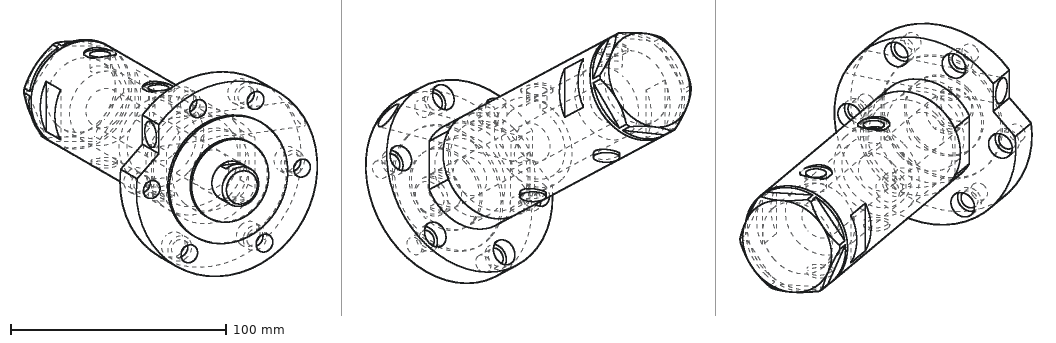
import cadquery as cq
import math

CAP_HEX_END = 8.7
TUBE_START = 10.9
CAP_SPIGOT_END = 34.8
HEAD_SPIGOT_START = 94.7
TUBE_END = 130.5
FLANGE_START = 146.2
FLANGE_END = 163.4
PILOT_END = 165.15
BUSH_END = 166.8
ROD_NECK_END = 172.7
OVERALL_LENGTH = 179.02

TUBE_DIAMETER = 52.0
CHAMBER_DIAMETER = 36.0
HEAD_SPIGOT_DIAMETER = 44.0
FLANGE_DIAMETER = 94.0
PILOT_DIAMETER = 61.5
BUSH_DIAMETER = 40.0
ROD_DIAMETER = 19.0

BODY_ACROSS_FLATS = 46.0
ROD_ACROSS_FLATS = 16.0

CAP_FACE_DIAMETER = 46.0
CAP_CHAMFER_LENGTH = (TUBE_DIAMETER - CAP_FACE_DIAMETER) / 2
CAP_TURN = 22.4
HEX_SIDES = 6
HEX_HALF_ANGLE = 180 / HEX_SIDES

TUBE_FLAT_START = 20.6
TUBE_FLAT_LENGTH = 15.2
PORT_POSITIONS = (30.6, 91.8)
PORT_DIAMETER = 9.7
SPOT_FACE_DIAMETER = 15.0
SPOT_FACE_HEIGHT = 25.0
BOSS_POSITIONS = (CAP_SPIGOT_END, HEAD_SPIGOT_START)
BOSS_DIAMETER = 12.2
BOSS_REACH = 27.3

BOLT_CIRCLE_DIAMETER = 78.0
BOLT_HOLE_DIAMETER = 8.6
BOLT_HEAD_DIAMETER = 12.2
BOLT_HEAD_DEPTH = 7.0
BOLT_ANGLES = (0, 67.5, 112.5, 180, 240, 300)
CROSS_HOLE_DIAMETER = 12.2
CROSS_HOLE_HEIGHT = 24.0
NOTCH_SIDE = 35.3
NOTCH_CORNER_HEIGHT = 16.9
NOTCH_EXIT_HEIGHT = 6.2

ROD_CHAMFER = 1.5


def cylinder(start, end, diameter):
    """A cylinder about the X axis between two X places."""
    return cq.Workplane("YZ", origin=(start, 0, 0)).circle(diameter / 2).extrude(end - start)


def slab(start, end, thickness, normal):
    """A slab centred on the X axis, wider than the tube, with flat faces normal to Y or Z."""
    wide = 2 * TUBE_DIAMETER
    width, height = (thickness, wide) if normal == "Y" else (wide, thickness)
    return cq.Workplane("YZ", origin=(start, 0, 0)).rect(width, height).extrude(end - start)


def make_cap():
    """Hex-headed end cap with a round collar and a spigot that closes the tube."""
    across_corners = BODY_ACROSS_FLATS / math.cos(math.radians(HEX_HALF_ANGLE))
    hexagon = cq.Workplane("YZ").polygon(HEX_SIDES, across_corners).extrude(CAP_HEX_END)
    envelope = cylinder(0, CAP_HEX_END, TUBE_DIAMETER).faces("<X").chamfer(CAP_CHAMFER_LENGTH)
    cap = hexagon.rotate((0, 0, 0), (1, 0, 0), HEX_HALF_ANGLE).intersect(envelope)
    cap = cap.union(cylinder(CAP_HEX_END, TUBE_START, TUBE_DIAMETER))
    cap = cap.union(cylinder(TUBE_START, CAP_SPIGOT_END, CHAMBER_DIAMETER))
    return cap.rotate((0, 0, 0), (1, 0, 0), CAP_TURN)


def make_tube():
    """Cylinder tube with ports on top, round bosses below and two wrench flats."""
    tube = cylinder(TUBE_START, TUBE_END, TUBE_DIAMETER)

    flat_end = TUBE_FLAT_START + TUBE_FLAT_LENGTH
    flat_band = cylinder(TUBE_FLAT_START, flat_end, 2 * TUBE_DIAMETER)
    tube = tube.cut(flat_band.cut(slab(TUBE_FLAT_START, flat_end, BODY_ACROSS_FLATS, "Y")))

    for x in BOSS_POSITIONS:
        boss = cq.Workplane("XY", origin=(x, 0, -BOSS_REACH)).circle(BOSS_DIAMETER / 2).extrude(BOSS_REACH)
        tube = tube.union(boss)

    tube = tube.cut(cylinder(TUBE_START, HEAD_SPIGOT_START, CHAMBER_DIAMETER))
    tube = tube.cut(cylinder(HEAD_SPIGOT_START, TUBE_END, HEAD_SPIGOT_DIAMETER))

    for x in PORT_POSITIONS:
        port = cq.Workplane("XY", origin=(x, 0, 0)).circle(PORT_DIAMETER / 2).extrude(TUBE_DIAMETER)
        spot_face = cq.Workplane("XY", origin=(x, 0, SPOT_FACE_HEIGHT))
        spot_face = spot_face.circle(SPOT_FACE_DIAMETER / 2).extrude(TUBE_DIAMETER)
        tube = tube.cut(port).cut(spot_face)
    return tube


def make_flange():
    """Round flange with a side notch, a cross hole and six counterbored bolt holes."""
    flange = cylinder(FLANGE_START, FLANGE_END, FLANGE_DIAMETER)
    radius = FLANGE_DIAMETER / 2
    thickness = FLANGE_END - FLANGE_START

    exit_side = math.sqrt(radius**2 - NOTCH_EXIT_HEIGHT**2)
    notch = (
        cq.Workplane("YZ", origin=(FLANGE_START, 0, 0))
        .moveTo(-NOTCH_SIDE, radius)
        .lineTo(-NOTCH_SIDE, NOTCH_CORNER_HEIGHT)
        .lineTo(-exit_side, NOTCH_EXIT_HEIGHT)
        .lineTo(-radius, NOTCH_EXIT_HEIGHT)
        .lineTo(-radius, radius)
        .close()
        .extrude(thickness)
    )
    flange = flange.cut(notch)

    cross_hole = (
        cq.Workplane("XZ", origin=((FLANGE_START + FLANGE_END) / 2, 0, CROSS_HOLE_HEIGHT))
        .circle(CROSS_HOLE_DIAMETER / 2)
        .extrude(radius, both=True)
    )
    flange = flange.cut(cross_hole)

    for angle in BOLT_ANGLES:
        y = BOLT_CIRCLE_DIAMETER / 2 * math.cos(math.radians(angle))
        z = BOLT_CIRCLE_DIAMETER / 2 * math.sin(math.radians(angle))
        bolt_hole = cylinder(FLANGE_START, FLANGE_END, BOLT_HOLE_DIAMETER)
        head_recess = cylinder(FLANGE_START, FLANGE_START + BOLT_HEAD_DEPTH, BOLT_HEAD_DIAMETER)
        flange = flange.cut(bolt_hole.union(head_recess).translate((0, y, z)))
    return flange


def make_head():
    """Rod-end head: spigot in the tube, flat-sided neck, flange and pilot, bored for bush and rod."""
    neck = cylinder(TUBE_END, FLANGE_START, TUBE_DIAMETER)
    neck = neck.intersect(slab(TUBE_END, FLANGE_START, BODY_ACROSS_FLATS, "Y"))
    head = cylinder(HEAD_SPIGOT_START, TUBE_END, HEAD_SPIGOT_DIAMETER)
    head = head.union(neck)
    head = head.union(make_flange())
    head = head.union(cylinder(FLANGE_END, PILOT_END, PILOT_DIAMETER))
    head = head.cut(cylinder(FLANGE_START, PILOT_END, BUSH_DIAMETER))
    return head.cut(cylinder(HEAD_SPIGOT_START, FLANGE_START, ROD_DIAMETER))


def make_bush():
    """Guide bush for the rod, seated in the flange."""
    bush = cylinder(FLANGE_START, BUSH_END, BUSH_DIAMETER)
    return bush.cut(cylinder(FLANGE_START, BUSH_END, ROD_DIAMETER))


def make_rod():
    """Rod resting on the cap spigot, with a two-flat neck behind its chamfered tip."""
    rod = cylinder(CAP_SPIGOT_END, OVERALL_LENGTH, ROD_DIAMETER).faces(">X").chamfer(ROD_CHAMFER)
    neck_band = cylinder(BUSH_END, ROD_NECK_END, 2 * ROD_DIAMETER)
    return rod.cut(neck_band.cut(slab(BUSH_END, ROD_NECK_END, ROD_ACROSS_FLATS, "Z")))


cap = make_cap()
tube = make_tube()
head = make_head()
bush = make_bush()
rod = make_rod()

result = cq.Compound.makeCompound([cap.val(), tube.val(), head.val(), bush.val(), rod.val()])